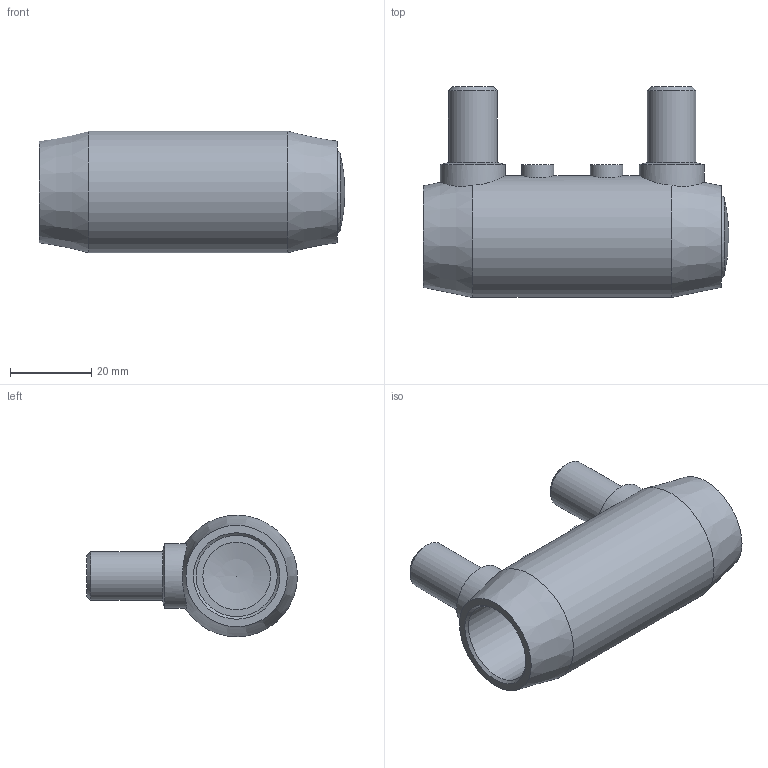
import cadquery as cq
import math

body_radius = 15.0
end_radius = 12.5
barrel_length = 49.0
taper_length = 12.25
sleeve_length = barrel_length + 2 * taper_length

bore_radius = 10.0
bore_chamfer = 0.65
plug_thickness = 2.0

dome_height = 1.87
dome_base_radius = bore_radius
rim_round = 0.75

dish_radius = 16.67 / 2

pin_radius = 6.0
pin_tip_y = 37.0
pin_chamfer = 1.0
collar_radius = 8.0
collar_top_y = 17.75
collar_cone_height = 0.5
pin_positions = (taper_length, taper_length + barrel_length)

stop_radius = 4.0
stop_spacing = 17.0
stop_top_y = collar_top_y
stop_positions = (
    (sleeve_length - stop_spacing) / 2,
    (sleeve_length + stop_spacing) / 2,
)

rim_centre_offset = dome_base_radius - rim_round
dome_drop = dome_height - rim_round
dome_sphere_radius = (rim_centre_offset**2 + dome_drop**2) / (2 * dome_drop) + rim_round
dome_centre_x = sleeve_length + dome_height - dome_sphere_radius
rim_angle = math.atan2(rim_centre_offset, sleeve_length - dome_centre_x)
dome_edge_offset = dome_sphere_radius * math.sin(rim_angle)

plug_inner_x = sleeve_length - plug_thickness
dish_sphere_radius = math.hypot(dish_radius, plug_inner_x - dome_centre_x)
dish_bottom_x = dome_centre_x + dish_sphere_radius


def sphere_point(sphere_radius, offset):
    """Point at a given distance off the X axis on a sphere about the plug centre."""
    return (dome_centre_x + math.sqrt(sphere_radius**2 - offset**2), offset)


def rim_point(angle):
    """Point on the rim round at an angle from the X axis."""
    return (
        sleeve_length + rim_round * math.cos(angle),
        rim_centre_offset + rim_round * math.sin(angle),
    )


def make_sleeve():
    """Revolve the half section of the closed sleeve about the X axis."""
    profile = (
        cq.Workplane("XY")
        .moveTo(0, bore_radius + bore_chamfer)
        .lineTo(0, end_radius)
        .lineTo(taper_length, body_radius)
        .lineTo(taper_length + barrel_length, body_radius)
        .lineTo(sleeve_length, end_radius)
        .lineTo(sleeve_length, dome_base_radius)
        .threePointArc(
            rim_point((rim_angle + math.pi / 2) / 2),
            sphere_point(dome_sphere_radius, dome_edge_offset),
        )
        .threePointArc(
            sphere_point(dome_sphere_radius, dome_edge_offset / 2),
            (sleeve_length + dome_height, 0),
        )
        .lineTo(dish_bottom_x, 0)
        .threePointArc(
            sphere_point(dish_sphere_radius, dish_radius / 2),
            (plug_inner_x, dish_radius),
        )
        .lineTo(plug_inner_x, bore_radius)
        .lineTo(bore_chamfer, bore_radius)
        .close()
    )
    return profile.revolve(360, (0, 0, 0), (1, 0, 0))


def make_pin(x):
    """Chamfered pin on a collar with a shallow conical shoulder, starting at the sleeve axis."""
    profile = (
        cq.Workplane("XY")
        .moveTo(x, 0)
        .lineTo(x + collar_radius, 0)
        .lineTo(x + collar_radius, collar_top_y)
        .lineTo(x + pin_radius, collar_top_y + collar_cone_height)
        .lineTo(x + pin_radius, pin_tip_y - pin_chamfer)
        .lineTo(x + pin_radius - pin_chamfer, pin_tip_y)
        .lineTo(x, pin_tip_y)
        .close()
    )
    return profile.revolve(360, (x, 0, 0), (x, 1, 0))


def make_stop(x):
    """Short round stop, starting at the sleeve axis."""
    axis = cq.Vector(0, 1, 0)
    return cq.Workplane(cq.Solid.makeCylinder(stop_radius, stop_top_y, cq.Vector(x, 0, 0), axis))


def make_bore_core():
    """Space inside the bore that the attachments must not enter."""
    return cq.Workplane("YZ").circle(bore_radius).extrude(plug_inner_x)


attachments = [make_pin(x) for x in pin_positions] + [make_stop(x) for x in stop_positions]

result = make_sleeve()
bore_core = make_bore_core()
for attachment in attachments:
    result = result.union(attachment.cut(bore_core))